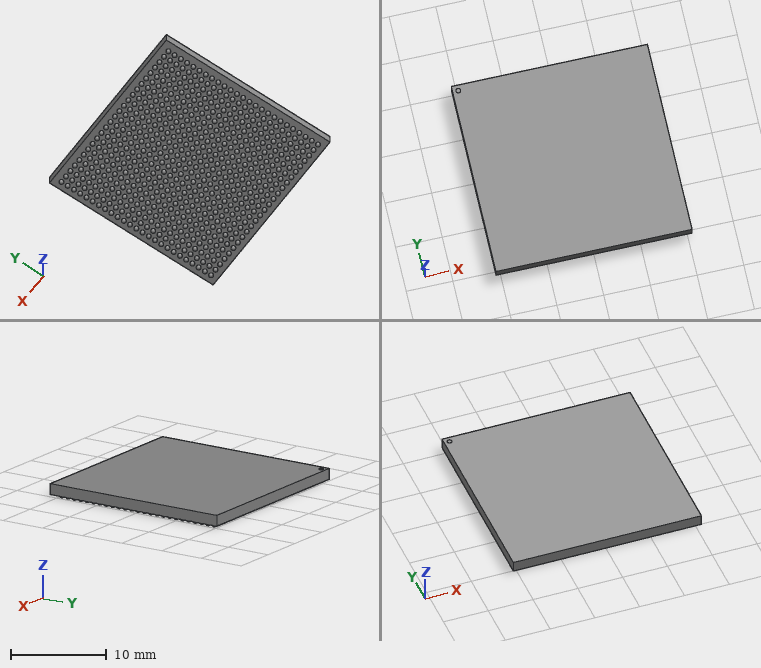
import cadquery as cq

body_side = 21.0
overall_height = 1.62
ball_drop = 0.42
body_height = overall_height - ball_drop

balls_per_side = 25
ball_grid_span = 19.2
ball_pitch = ball_grid_span / (balls_per_side - 1)
ball_diameter = 0.52

mark_diameter = 0.5
mark_inset = 0.6
mark_depth = 0.05


def make_body():
    return cq.Workplane("XY").box(body_side, body_side, body_height, centered=(True, True, False))


def cut_pin_one_mark(body):
    mark_offset = body_side / 2 - mark_inset
    return (
        body.faces(">Z").workplane(origin=(0, 0, body_height))
        .center(-mark_offset, mark_offset)
        .hole(mark_diameter, mark_depth)
    )


def make_ball():
    """Sphere whose lowest point hangs ball_drop below the body."""
    center_height = ball_diameter / 2 - ball_drop
    return cq.Workplane("XY").sphere(ball_diameter / 2).translate((0, 0, center_height)).val()


def make_ball_grid():
    ball = make_ball()
    return (
        cq.Workplane("XY")
        .rarray(ball_pitch, ball_pitch, balls_per_side, balls_per_side)
        .eachpoint(lambda location: ball.moved(location), combine=False)
    )


body = cut_pin_one_mark(make_body())
result = body.union(make_ball_grid(), clean=False)